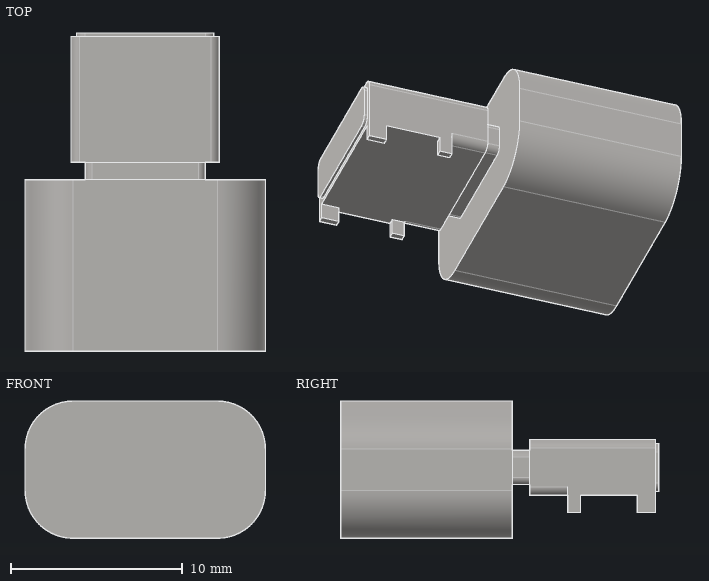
import cadquery as cq

grip_width = 14.0
grip_length = 10.0
grip_height = 8.0
grip_corner_radius = 2.8
neck_width = 7.0
neck_length = 1.0
neck_height = 2.0
neck_corner_radius = 0.4

shell_width = 8.64
shell_length = 7.33
shell_height = 3.26
shell_corner_radius = 0.5
insert_width = 8.0
insert_height = 2.8
insert_length = 0.2
insert_corner_radius = 0.5
leg_thickness = 0.4
leg_drop = 1.0
rear_leg_length = 1.07
front_leg_length = 0.75
front_leg_setback = 2.22

grip_axis_z = 0.0
connector_axis_z = 0.13
grip_back_y = grip_length
shell_front_y = grip_back_y + neck_length
shell_back_y = shell_front_y + shell_length
shell_bottom_z = connector_axis_z - shell_height / 2
front_leg_y = shell_front_y + front_leg_setback
rear_leg_y = shell_back_y - rear_leg_length


def rounded_bar(width, height, corner_radius, length, start_y, axis_z):
    """Bar along +Y with a rounded rectangular section centred on x = 0, z = axis_z."""
    return (
        cq.Workplane("XY")
        .box(width, length, height, centered=(True, False, True))
        .edges("|Y")
        .fillet(corner_radius)
        .translate((0, start_y, axis_z))
    )


def make_plug():
    """Grip block and the narrow neck behind it."""
    grip = rounded_bar(grip_width, grip_height, grip_corner_radius, grip_length, 0, grip_axis_z)
    neck = rounded_bar(
        neck_width, neck_height, neck_corner_radius, neck_length, grip_back_y, connector_axis_z
    )
    return grip.union(neck)


def make_leg(side, start_y, length):
    """Leg flush with one side of the shell, from the shell axis down past its bottom."""
    leg_height = shell_height / 2 + leg_drop
    return (
        cq.Workplane("XY")
        .box(leg_thickness, length, leg_height, centered=(True, False, False))
        .translate((side * (shell_width - leg_thickness) / 2, start_y, shell_bottom_z - leg_drop))
    )


def make_square_base():
    """Lower half of the shell from the front legs back, where its bottom corners are square."""
    return (
        cq.Workplane("XY")
        .box(shell_width, shell_back_y - front_leg_y, shell_height / 2, centered=(True, False, False))
        .translate((0, front_leg_y, shell_bottom_z))
    )


def make_socket():
    """Shell, square-cornered base, rear insert and the four legs."""
    socket = rounded_bar(
        shell_width, shell_height, shell_corner_radius, shell_length, shell_front_y, connector_axis_z
    )
    insert = rounded_bar(
        insert_width,
        insert_height,
        insert_corner_radius,
        insert_length,
        shell_back_y,
        connector_axis_z,
    )
    socket = socket.union(make_square_base()).union(insert)
    for side in (-1, 1):
        socket = socket.union(make_leg(side, front_leg_y, front_leg_length))
        socket = socket.union(make_leg(side, rear_leg_y, rear_leg_length))
    return socket.clean()


plug = make_plug()
socket = make_socket()

result = cq.Compound.makeCompound([plug.val(), socket.val()])